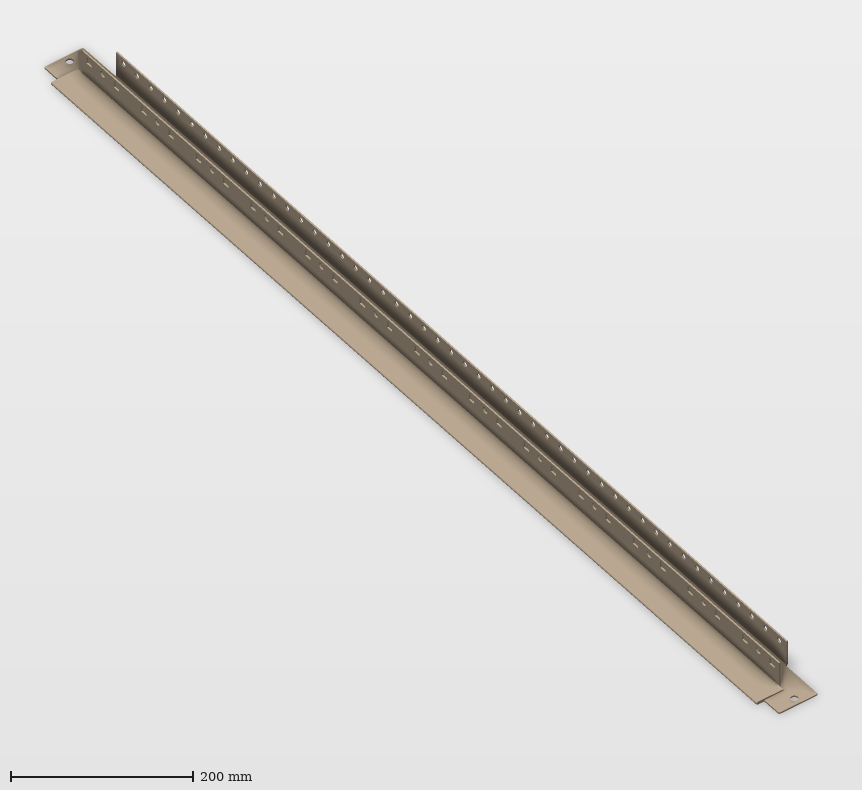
import cadquery as cq
import math

length = 1345.0
depth = 67.0
height = 36.0
sheet = 2.0

back_face = depth / 2
front_edge = -depth / 2
front_wall_back = 5.0
front_wall_front = front_wall_back - sheet
tab_front = -23.0
bend_radius = 3.0
tab_back = back_face - bend_radius

tab_corner_radius = 2.0

flange_length = 1291.0
front_wall_length = 1275.0
back_wall_length = 1227.0

back_hole_count = 49
back_hole_span = 1200.0
wall_hole_pitch = back_hole_span / (back_hole_count - 1)
front_hole_diameter = 8.0
back_hole_diameter = 7.0
square_hole_side = 10.0
wall_hole_drop = 8.0
wall_hole_height = height - wall_hole_drop
front_group_count = 13
front_group_pitch = 4 * wall_hole_pitch
floor_hole_count = 24
floor_hole_pitch = 2 * wall_hole_pitch
floor_hole_diameter = 7.0
floor_hole_y = (back_face + front_wall_front) / 2
tab_hole_diameter = 9.0
tab_hole_end_margin = 10.0
tab_hole_x = length / 2 - tab_hole_end_margin
tab_hole_y = front_wall_back
middle_hole_diameter = 7.0


def extrude_profile(profile, profile_length):
    """Extrude a closed YZ profile along X, centred on the YZ plane."""
    return profile.close().extrude(profile_length / 2, both=True)


def box(size_x, y_min, y_max, z_min, z_max):
    """Box centred on X and placed by its limits along Y and Z."""
    corner = (-size_x / 2, y_min, z_min)
    return cq.Workplane("XY").box(size_x, y_max - y_min, z_max - z_min, centered=False).translate(corner)


def spaced(count, pitch):
    """Positions of evenly spaced items, centred on zero."""
    return [(i - (count - 1) / 2) * pitch for i in range(count)]


def back_wall():
    """Rear wall with its rounded bend down to the floor."""
    inner_radius = bend_radius - sheet
    diagonal = math.sqrt(0.5)
    profile = (
        cq.Workplane("YZ")
        .moveTo(tab_back, 0)
        .threePointArc(
            (tab_back + bend_radius * diagonal, bend_radius * (1 - diagonal)),
            (back_face, bend_radius),
        )
        .lineTo(back_face, height)
        .lineTo(back_face - sheet, height)
        .lineTo(back_face - sheet, bend_radius)
        .threePointArc(
            (tab_back + inner_radius * diagonal, bend_radius - inner_radius * diagonal),
            (tab_back, sheet),
        )
    )
    return extrude_profile(profile, back_wall_length)


def hemmed_flange():
    """Double-thickness front flange whose folded edge is a half round."""
    profile = (
        cq.Workplane("YZ")
        .moveTo(front_wall_back, 0)
        .lineTo(front_edge + sheet, 0)
        .threePointArc((front_edge, sheet), (front_edge + sheet, 2 * sheet))
        .lineTo(front_wall_front, 2 * sheet)
        .lineTo(front_wall_front, sheet)
        .lineTo(front_wall_back, sheet)
    )
    return extrude_profile(profile, flange_length)


def wall_plane(y_max, positions):
    """Hole centres on the rear face of an upright wall, ready to cut toward -Y."""
    points = [(x, wall_hole_height) for x in positions]
    return cq.Workplane("XZ", origin=(0, y_max, 0)).pushPoints(points)


def round_wall_holes(y_max, positions, diameter):
    """Round holes along Y through an upright wall."""
    return wall_plane(y_max, positions).circle(diameter / 2).extrude(sheet)


def square_wall_holes(y_max, positions, side):
    """Square holes along Y through an upright wall."""
    return wall_plane(y_max, positions).rect(side, side).extrude(sheet)


def floor_holes(points, diameter):
    """Round holes along Z through the floor sheet."""
    return cq.Workplane("XY").pushPoints(points).circle(diameter / 2).extrude(sheet)


floor = box(length, tab_front, tab_back, 0, sheet).edges("|Z").fillet(tab_corner_radius)
front_wall = box(front_wall_length, front_wall_front, front_wall_back, sheet, height)
body = floor.union(hemmed_flange()).union(front_wall).union(back_wall())

group_centres = spaced(front_group_count, front_group_pitch)
square_hole_positions = [x + side * wall_hole_pitch for x in group_centres for side in (-1, 1)]
back_hole_positions = spaced(back_hole_count, wall_hole_pitch)
floor_hole_points = [(x, floor_hole_y) for x in spaced(floor_hole_count, floor_hole_pitch)]
tab_hole_points = [(side * tab_hole_x, tab_hole_y) for side in (-1, 1)]
middle_hole_points = [(0, tab_hole_y)]

result = (
    body.cut(round_wall_holes(front_wall_back, group_centres, front_hole_diameter))
    .cut(square_wall_holes(front_wall_back, square_hole_positions, square_hole_side))
    .cut(round_wall_holes(back_face, back_hole_positions, back_hole_diameter))
    .cut(floor_holes(floor_hole_points, floor_hole_diameter))
    .cut(floor_holes(tab_hole_points, tab_hole_diameter))
    .cut(floor_holes(middle_hole_points, middle_hole_diameter))
    .clean()
)